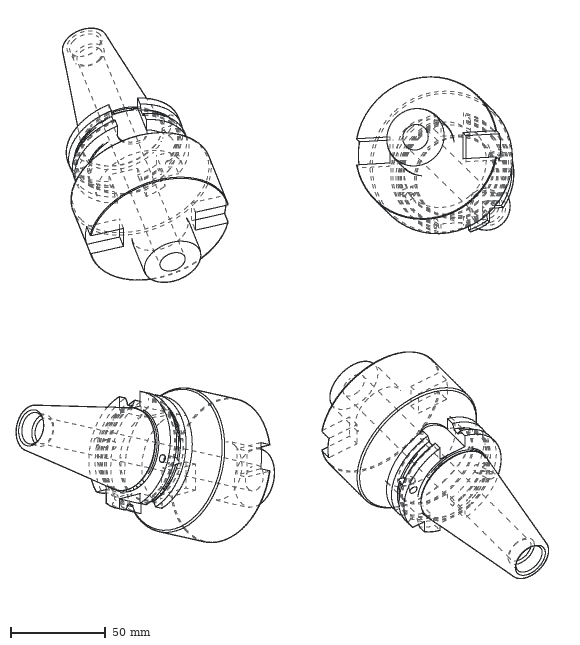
import cadquery as cq
import math


total_length = 162.4
taper_end = 69.0
flange_start = 71.6
flange_end = 87.5
body_start = 103.5
body_end = 138.2
relief_end = 139.5

taper_rate = 7 / 24
small_end_diameter = 24.7
small_end_round = 1.1
shank_relief_diameter = 44.2
shank_relief_step = 0.6
shank_fillet = 0.6

flange_diameter = 63.5
groove_center = 79.5
groove_floor_diameter = 56.4
groove_floor_width = 3.7
groove_mouth_width = 6.8
groove_flank_angle = 30.0
groove_corner_radius = 0.5

neck_diameter = 48.5
neck_fillet = 0.5
body_diameter = 78.0
body_rear_chamfer = 1.0
body_front_chamfer_length = 0.6
body_front_chamfer_depth = 0.3
spigot_diameter = 32.0
spigot_relief_diameter = 31.3
spigot_relief_angle = 12.0
spigot_fillet = 0.6
spigot_lead_length = 1.3
spigot_lead_depth = 0.3

bore_diameter = 14.0
counterbore_diameter = 17.0
counterbore_depth = 8.5
counterbore_cone_angle = 59.0
counterbore_mouth_diameter = 19.5

keyway_width = 16.0
upper_keyway_floor = 22.5
lower_keyway_floor = 25.3
notch_inset = 18.4

face_hole_diameter = 4.0
face_hole_radius = 27.1
face_hole_tilt = 30.0
groove_hole_diameter = 4.2
coolant_angle = 20.0

drive_slot_width = 14.3
drive_slot_length = 7.0
drive_slot_floor = 20.0


def arc_inset(radius):
    """Distance from the corner's bounding sides to the middle of a quarter-circle arc."""
    return radius * (1 - math.sqrt(0.5))


def make_turned_body():
    def taper_radius(x):
        return (small_end_diameter + taper_rate * x) / 2

    flange_radius = flange_diameter / 2
    neck_radius = neck_diameter / 2
    body_radius = body_diameter / 2
    spigot_radius = spigot_diameter / 2
    relief_radius = spigot_relief_diameter / 2
    shank_relief_radius = shank_relief_diameter / 2
    ramp_length = (spigot_radius - relief_radius) / math.tan(math.radians(spigot_relief_angle))
    rounded_radius = taper_radius(small_end_round)

    outline = (
        cq.Workplane("XY")
        .moveTo(0, 0)
        .lineTo(0, rounded_radius - small_end_round)
        .threePointArc(
            (arc_inset(small_end_round), rounded_radius - arc_inset(small_end_round)),
            (small_end_round, rounded_radius),
        )
        .lineTo(taper_end, taper_radius(taper_end))
        .lineTo(taper_end + shank_relief_step, shank_relief_radius)
        .lineTo(flange_start - shank_fillet, shank_relief_radius)
        .threePointArc(
            (flange_start - arc_inset(shank_fillet), shank_relief_radius + arc_inset(shank_fillet)),
            (flange_start, shank_relief_radius + shank_fillet),
        )
        .lineTo(flange_start, flange_radius)
        .lineTo(flange_end, flange_radius)
        .lineTo(flange_end, neck_radius + neck_fillet)
        .threePointArc(
            (flange_end + arc_inset(neck_fillet), neck_radius + arc_inset(neck_fillet)),
            (flange_end + neck_fillet, neck_radius),
        )
        .lineTo(body_start - neck_fillet, neck_radius)
        .threePointArc(
            (body_start - arc_inset(neck_fillet), neck_radius + arc_inset(neck_fillet)),
            (body_start, neck_radius + neck_fillet),
        )
        .lineTo(body_start, body_radius - body_rear_chamfer)
        .lineTo(body_start + body_rear_chamfer, body_radius)
        .lineTo(body_end - body_front_chamfer_length, body_radius)
        .lineTo(body_end, body_radius - body_front_chamfer_depth)
        .lineTo(body_end, relief_radius + spigot_fillet)
        .threePointArc(
            (body_end + arc_inset(spigot_fillet), relief_radius + arc_inset(spigot_fillet)),
            (body_end + spigot_fillet, relief_radius),
        )
        .lineTo(relief_end, relief_radius)
        .lineTo(relief_end + ramp_length, spigot_radius)
        .lineTo(total_length - spigot_lead_length, spigot_radius)
        .lineTo(total_length, spigot_radius - spigot_lead_depth)
        .lineTo(total_length, 0)
        .close()
    )
    return outline.revolve(360, (0, 0, 0), (1, 0, 0))


def make_gripper_groove():
    """Ring with a V mouth above a narrow straight-walled floor with rounded corners."""
    rim = flange_diameter / 2
    floor = groove_floor_diameter / 2
    half_mouth = groove_mouth_width / 2
    half_floor = groove_floor_width / 2
    flank_depth = (half_mouth - half_floor) / math.tan(math.radians(groove_flank_angle))
    corner_arc = arc_inset(groove_corner_radius)
    outline = (
        cq.Workplane("XY", origin=(groove_center, 0, 0))
        .moveTo(-half_mouth, rim)
        .lineTo(-half_floor, rim - flank_depth)
        .lineTo(-half_floor, floor + groove_corner_radius)
        .threePointArc(
            (-half_floor + corner_arc, floor + corner_arc),
            (-half_floor + groove_corner_radius, floor),
        )
        .lineTo(half_floor - groove_corner_radius, floor)
        .threePointArc(
            (half_floor - corner_arc, floor + corner_arc),
            (half_floor, floor + groove_corner_radius),
        )
        .lineTo(half_floor, rim - flank_depth)
        .lineTo(half_mouth, rim)
        .close()
    )
    return outline.revolve(360, (-groove_center, 0, 0), (1.6 - groove_center, 0, 0))


def make_bore():
    """Through bore with a counterbore that has a 45 degree chamfer at its mouth and a conical bottom."""
    bore = bore_diameter / 2
    counterbore = counterbore_diameter / 2
    mouth = counterbore_mouth_diameter / 2
    cone_length = (counterbore - bore) / math.tan(math.radians(counterbore_cone_angle))
    outline = cq.Workplane("XY").polyline([
        (0, 0),
        (0, mouth),
        (mouth - counterbore, counterbore),
        (counterbore_depth, counterbore),
        (counterbore_depth + cone_length, bore),
        (total_length, bore),
        (total_length, 0),
    ]).close()
    return outline.revolve(360, (0, 0, 0), (1, 0, 0))


def make_keyways():
    """Keyways across the flange; the upper one runs out into the neck with a round end."""
    length = flange_end - flange_start
    depth = flange_diameter / 2
    middle = (flange_start + flange_end) / 2
    upper = (
        cq.Workplane("XY", origin=(middle, 0, upper_keyway_floor))
        .rect(length, keyway_width)
        .extrude(depth)
    )
    round_end = (
        cq.Workplane("XY", origin=(flange_end, 0, upper_keyway_floor))
        .circle(keyway_width / 2)
        .extrude(depth)
    )
    lower = (
        cq.Workplane("XY", origin=(middle, 0, -lower_keyway_floor))
        .rect(length, keyway_width)
        .extrude(-depth)
    )
    return upper.union(round_end).union(lower)


def make_orientation_notch():
    """Square corner removed from the flange on its +Y, -Z side."""
    size = flange_diameter / 2
    return cq.Workplane("XY").box(
        flange_end - flange_start, size, size, centered=False
    ).translate((flange_start, notch_inset, -notch_inset - size))


def make_coolant_passage():
    """A leaning hole from the flange face, met by a radial hole from the groove."""
    tilt = math.radians(face_hole_tilt)
    axial_run = groove_center - flange_start
    meeting_radius = face_hole_radius - axial_run * math.tan(tilt)
    overrun = face_hole_diameter
    direction = cq.Vector(math.cos(tilt), -math.sin(tilt), 0)
    start = cq.Vector(flange_start, face_hole_radius, 0) - direction * overrun
    face_hole = cq.Solid.makeCylinder(
        face_hole_diameter / 2, axial_run / math.cos(tilt) + overrun, start, direction
    )
    flange_zone = cq.Workplane("XY").box(
        flange_end - flange_start, flange_diameter, flange_diameter
    ).translate(((flange_start + flange_end) / 2, 0, 0))
    groove_hole = cq.Solid.makeCylinder(
        groove_hole_diameter / 2,
        flange_diameter / 2 - meeting_radius,
        cq.Vector(groove_center, meeting_radius, 0),
        cq.Vector(0, 1, 0),
    )
    return flange_zone.intersect(cq.Workplane(face_hole)).union(cq.Workplane(groove_hole))


def make_drive_slot():
    depth = body_diameter / 2 - drive_slot_floor
    return cq.Workplane("XY").box(
        drive_slot_length, depth, drive_slot_width, centered=(False, False, True)
    ).translate((body_end - drive_slot_length, drive_slot_floor, 0))


holder = make_turned_body()
holder = holder.cut(make_gripper_groove()).cut(make_bore())
holder = holder.cut(make_keyways()).cut(make_orientation_notch())

for turn in (0, 180):
    passage = make_coolant_passage().rotate((0, 0, 0), (1, 0, 0), coolant_angle + turn)
    slot = make_drive_slot().rotate((0, 0, 0), (1, 0, 0), turn)
    holder = holder.cut(passage).cut(slot)

result = holder